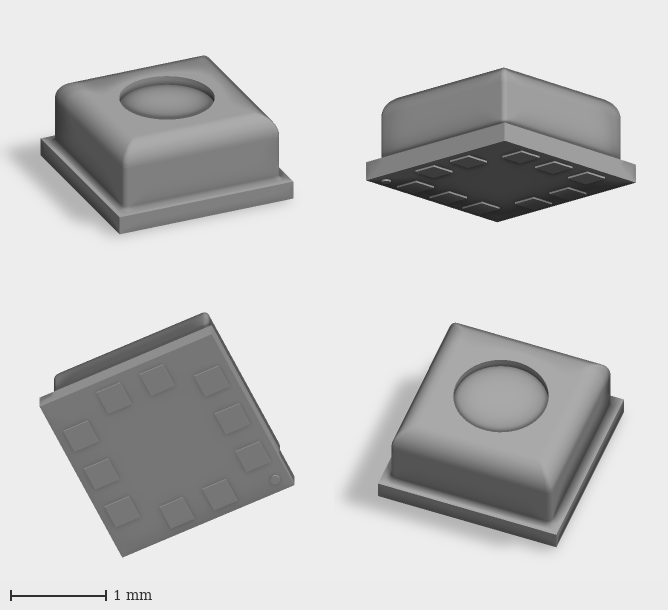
import cadquery as cq

board_side = 2.0
total_height = 0.95
board_thickness = 0.2
pad_thickness = 0.02

lid_margin = 0.1
lid_top_radius = 0.225
lid_corner_radius = 0.05
foot_radius = 0.05
recess_diameter = 1.0
recess_depth = 0.1

pad_width = 0.27
pad_length = 0.28
pad_pitch = 0.5
pads_per_x_side = 3
pads_per_y_side = 2
pad_margin = 0.1
dot_diameter = 0.1

board_top = pad_thickness + board_thickness
lid_side = board_side - 2 * lid_margin
lid_height = total_height - board_top
pad_offset = board_side / 2 - pad_margin - pad_length / 2
dot_offset = board_side / 2 - pad_margin - dot_diameter / 2
pad_overlap = board_thickness / 4


def make_board():
    """Square substrate resting on the pads."""
    return (
        cq.Workplane("XY")
        .workplane(offset=pad_thickness)
        .rect(board_side, board_side)
        .extrude(board_thickness)
    )


def make_lid():
    """Rounded block; the top edges are rounded first so that the corner fillets follow their mitres."""
    block = cq.Workplane("XY").workplane(offset=board_top).rect(lid_side, lid_side).extrude(lid_height)
    block = block.faces(">Z").edges().fillet(lid_top_radius)
    mitred_edges = block.edges("not(#Z or |X or |Y)")
    return mitred_edges.add(block.edges("|Z")).fillet(lid_corner_radius)


def add_foot_fillet(body):
    """Blend the lid walls into the top face of the board."""
    half_lid = lid_side / 2
    reach = foot_radius / 2
    foot_zone = cq.selectors.BoxSelector(
        (-half_lid - reach, -half_lid - reach, board_top - reach),
        (half_lid + reach, half_lid + reach, board_top + reach),
        boundingbox=True,
    )
    return body.edges(foot_zone).fillet(foot_radius)


def cut_recess(body):
    """Round blind recess in the centre of the lid."""
    lid_top = body.faces(">Z").workplane(origin=(0, 0, total_height))
    return lid_top.circle(recess_diameter / 2).cutBlind(-recess_depth)


def centred_positions(count):
    """Pad centres along one edge, symmetric about its middle."""
    return [(index - (count - 1) / 2) * pad_pitch for index in range(count)]


def make_contacts():
    """Ten pads around the underside and a dot at the pin-one corner."""
    contact_height = pad_thickness + pad_overlap
    column_centres = [
        (side * pad_offset, y) for side in (-1, 1) for y in centred_positions(pads_per_x_side)
    ]
    row_centres = [
        (x, side * pad_offset) for side in (-1, 1) for x in centred_positions(pads_per_y_side)
    ]
    underside = cq.Workplane("XY")
    columns = underside.pushPoints(column_centres).rect(pad_length, pad_width).extrude(contact_height)
    rows = underside.pushPoints(row_centres).rect(pad_width, pad_length).extrude(contact_height)
    dot = underside.center(-dot_offset, -dot_offset).circle(dot_diameter / 2).extrude(contact_height)
    return columns, rows, dot


body = add_foot_fillet(make_board().union(make_lid()))
body = cut_recess(body)
for contact in make_contacts():
    body = body.union(contact)

result = body